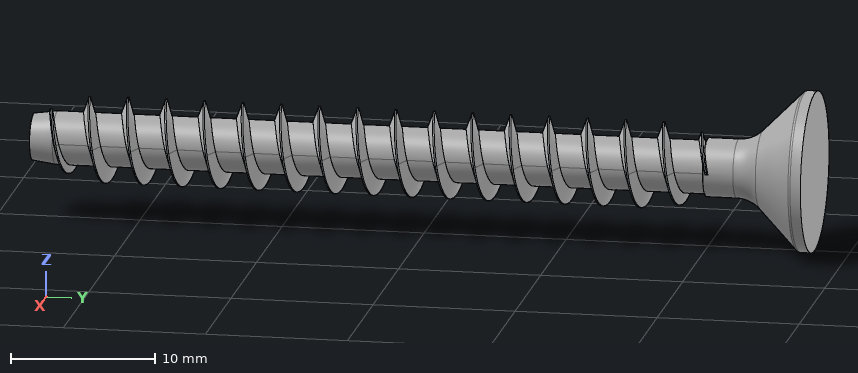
import cadquery as cq
import math

length = 55.0

head_radius = 5.64
rim_height = 0.8
rim_fillet = 0.2
neck_fillet = 2.4

shank_radius = 2.06
shank_end = -7.55
core_radius = 1.85
tip_radius = 1.65
tip_taper_length = 1.65

pitch = 2.7
half_turns = 35
steps_per_half_turn = 12
thread_radius = 3.0
thread_top = -7.25
root_radius = 1.55
root_half_width = 0.55
crest_half_width = 0.05

runout_top_radius = 2.2
runout_top_end = -10.6
runout_tip_start = -50.9
runout_tip_end = -54.2


def make_body():
    """Head, shank and core as one turned shape."""
    cone_end = -rim_height - (head_radius - shank_radius)
    bend = math.radians(45)
    rim_reach = rim_fillet * math.tan(bend / 2)
    neck_reach = neck_fillet * math.tan(bend / 2)
    diagonal = math.sin(bend)

    profile = (
        cq.Workplane("XZ")
        .lineTo(head_radius, 0)
        .lineTo(head_radius, -rim_height + rim_reach)
        .tangentArcPoint(
            (head_radius - rim_reach * diagonal, -rim_height - rim_reach * diagonal),
            relative=False,
        )
        .lineTo(shank_radius + neck_reach * diagonal, cone_end + neck_reach * diagonal)
        .tangentArcPoint((shank_radius, cone_end - neck_reach), relative=False)
        .lineTo(shank_radius, shank_end)
        .lineTo(core_radius, shank_end)
        .lineTo(core_radius, -length + tip_taper_length)
        .lineTo(tip_radius, -length)
        .lineTo(0, -length)
        .close()
    )
    return profile.revolve(360, (0, 0, 0), (0, 1, 0))


def crest_radius(height):
    """Radius of the ridge crest at a height, including both run-outs."""
    top_slope = (thread_radius - runout_top_radius) / (thread_top - runout_top_end)
    tip_slope = (thread_radius - core_radius) / (runout_tip_start - runout_tip_end)
    below_top = runout_top_radius + top_slope * (thread_top - height)
    above_tip = core_radius + tip_slope * (height - runout_tip_end)
    return min(below_top, above_tip, thread_radius)


def ridge_section(height):
    """Corners (radius, height) of the ridge cross-section at a height on the helix."""
    crest = crest_radius(height)
    flank_slope = (root_half_width - crest_half_width) / (thread_radius - root_radius)
    root_half = crest_half_width + flank_slope * (crest - root_radius)
    return [
        (root_radius, height - root_half),
        (crest, height - crest_half_width),
        (crest, height + crest_half_width),
        (root_radius, height + root_half),
    ]


def ridge_point(turn, corner):
    """Point of one ridge corner, a number of turns below the top of the thread."""
    angle = -2 * math.pi * turn
    radius, height = ridge_section(thread_top - turn * pitch)[corner]
    return cq.Vector(radius * math.cos(angle), radius * math.sin(angle), height)


def make_thread():
    """Helical ridge whose crest runs out at both ends, skinned in half-turn stretches."""
    corners = range(4)
    faces = []
    for half_turn in range(half_turns):
        stations = [
            (half_turn + step / steps_per_half_turn) / 2 for step in range(steps_per_half_turn + 1)
        ]
        edges = [
            cq.Edge.makeSpline([ridge_point(station, corner) for station in stations])
            for corner in corners
        ]
        for corner in corners:
            faces.append(cq.Face.makeRuledSurface(edges[corner - 1], edges[corner]))
    for end in (0, half_turns / 2):
        points = [ridge_point(end, corner) for corner in corners]
        faces.append(cq.Face.makeFromWires(cq.Wire.makePolygon(points, close=True)))
    return cq.Workplane(cq.Solid.makeSolid(cq.Shell.makeShell(faces)))


screw = make_body().union(make_thread())

result = screw.rotate((0, 0, 0), (1, 0, 0), -90)